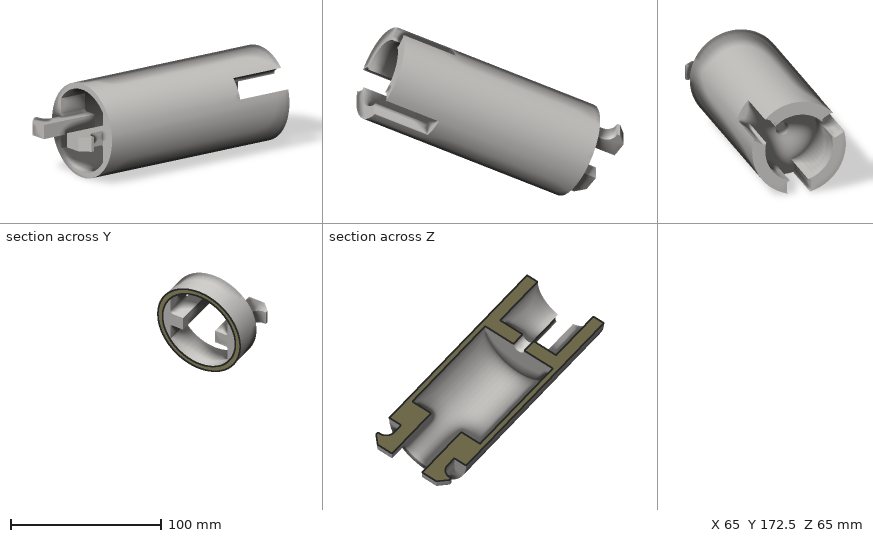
import cadquery as cq
import math

total_length = 172.5
hook_reach = 22.5
body_length = total_length - hook_reach
body_diameter = 65.0

front_bore_diameter = 57.0
rear_bore_diameter = 47.0
rear_bore_depth = 40.5
partition_thickness = 10.4
partition_hole_diameter = 9.0
front_bore_depth = body_length - rear_bore_depth - partition_thickness

arm_inner_x = 12.6
arm_outer_x = 22.6
arm_width = 9.8
arm_root_depth = 20.4
root_fillet = 1.9

hook_tip_x = 31.0
hook_chamfer = 6.2
hook_lip = 2.2
hook_relief_radius = 6.7

channel_angles = (30, 150, 270)
channel_width = 16.7
channel_floor_radius = 22.6
channel_top_radius = 32.8
channel_floor_fillet = 2.0
channel_top_fillet = 3.3


def rod(diameter, start_y, length):
    """Cylinder on the part axis running toward +Y."""
    return cq.Workplane("XZ", origin=(0, start_y, 0)).circle(diameter / 2).extrude(-length)


def block(x_min, x_max, y_min, y_max, height):
    """Box centred on Z = 0."""
    size = (x_max - x_min, y_max - y_min, height)
    middle = ((x_min + x_max) / 2, (y_min + y_max) / 2, 0)
    return cq.Workplane("XY").box(*size).translate(middle)


def hollow_body():
    body = rod(body_diameter, 0, body_length)
    body = body.cut(rod(front_bore_diameter, 0, front_bore_depth))
    body = body.cut(rod(rear_bore_diameter, body_length - rear_bore_depth, rear_bore_depth))
    return body.cut(rod(partition_hole_diameter, 0, body_length))


def rear_channel(angle):
    """Rounded channel cutter, opened through the outer wall at the given angle."""
    depth = channel_top_radius - channel_floor_radius
    cutter = block(
        channel_floor_radius,
        channel_floor_radius + depth,
        body_length - rear_bore_depth,
        body_length,
        channel_width,
    )
    cutter = cutter.faces("<X").edges("|Y").fillet(channel_floor_fillet)
    cutter = cutter.faces(">X").edges("|Y").fillet(channel_top_fillet)
    return cutter.rotate((0, 0, 0), (0, 1, 0), -angle)


def arm_root():
    """Flat-faced segment of the bore wall, with the inner part of the arm filleted to it."""
    segment = block(arm_outer_x, body_diameter / 2, 0, arm_root_depth, body_diameter)
    arm = block(arm_inner_x, body_diameter / 2, 0, arm_root_depth, arm_width)
    corner = cq.selectors.BoxSelector(
        (arm_outer_x - root_fillet, -1.7, -arm_width),
        (arm_outer_x + root_fillet, arm_root_depth + 1.7, arm_width),
    )
    root = segment.union(arm).edges("|Y").edges(corner).fillet(root_fillet)
    return root.intersect(rod(body_diameter, 0, arm_root_depth))


def hook():
    """Free end of the arm with a chamfered nose and a round relief behind the barb."""
    front_y = -hook_reach
    barb_y = front_y + hook_chamfer + hook_lip
    relief_x = arm_outer_x + hook_relief_radius
    relief_y = barb_y + hook_relief_radius
    diagonal = hook_relief_radius * math.sqrt(0.5)
    return (
        cq.Workplane("XY", origin=(0, 0, -arm_width / 2))
        .moveTo(arm_inner_x, 0)
        .lineTo(arm_inner_x, front_y)
        .lineTo(hook_tip_x - hook_chamfer, front_y)
        .lineTo(hook_tip_x, front_y + hook_chamfer)
        .lineTo(hook_tip_x, barb_y)
        .lineTo(relief_x, barb_y)
        .threePointArc((relief_x - diagonal, relief_y - diagonal), (arm_outer_x, relief_y))
        .lineTo(arm_outer_x, 0)
        .close()
        .extrude(arm_width)
    )


result = hollow_body()
for channel_angle in channel_angles:
    result = result.cut(rear_channel(channel_angle))

snap_arm = arm_root().union(hook())
result = result.union(snap_arm).union(snap_arm.mirror("YZ"))